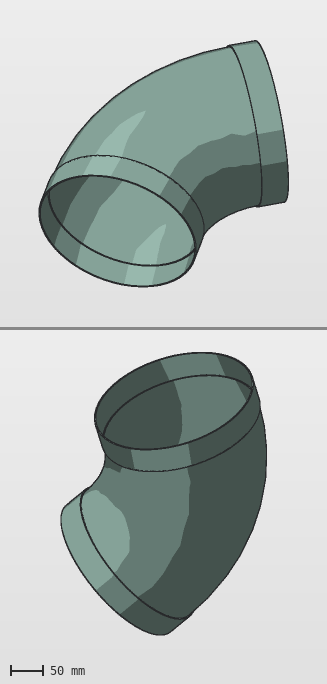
import cadquery as cq
import math

overall_length = 389.5
bend_angle = 60.0
collar_diameter = 254.0
collar_length = 42.0
collar_bore = 249.5
bend_diameter = 250.0
bend_wall = 2.0

sin_bend = math.sin(math.radians(bend_angle))
cos_bend = math.cos(math.radians(bend_angle))
straight_rise = collar_length * (1 + cos_bend)
rim_rise = collar_diameter / 2 * sin_bend
bend_radius = (overall_length - straight_rise - rim_rise) / sin_bend

bend_start = cq.Vector(0, collar_length, 0)
bend_end = cq.Vector(
    bend_radius * (1 - cos_bend),
    collar_length + bend_radius * sin_bend,
    0,
)
inlet_direction = cq.Vector(0, -1, 0)
outlet_direction = cq.Vector(sin_bend, cos_bend, 0)


def bend_tube():
    """Curved pipe: a ring revolved about the vertical line through the bend centre."""
    start_plane = cq.Plane(bend_start, xDir=(1, 0, 0), normal=(0, 1, 0))
    ring = (
        cq.Workplane(start_plane)
        .circle(bend_diameter / 2)
        .circle(bend_diameter / 2 - bend_wall)
    )
    return ring.revolve(bend_angle, (bend_radius, 0), (bend_radius, 1))


def collar(center, direction):
    """Straight end sleeve running outwards from one end of the bend."""
    plane = cq.Plane(center, xDir=(0, 0, 1), normal=direction)
    return (
        cq.Workplane(plane)
        .circle(collar_diameter / 2)
        .circle(collar_bore / 2)
        .extrude(collar_length)
    )


result = (
    bend_tube()
    .union(collar(bend_start, inlet_direction))
    .union(collar(bend_end, outlet_direction))
)